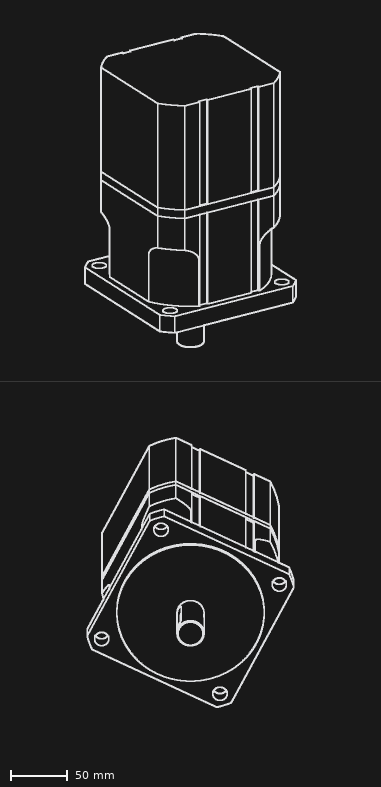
import cadquery as cq
import math

TOTAL_HEIGHT = 262.5
FLANGE_WIDTH = 142.0
BODY_WIDTH = 127.8

FLANGE_CORNER_DIA = 188.0
BODY_CORNER_DIA = 158.0
NECK_DIA = 142.8

PILOT_BOTTOM_Z = 47.2
FLANGE_BOTTOM_Z = 50.1
FLANGE_TOP_Z = 66.2
NECK_TOP_Z = 110.5
NECK_BLEND_TOP_Z = 123.5
PLATE_BOTTOM_Z = 154.0
PLATE_TOP_Z = 162.2

PILOT_DIA = 130.0
HOLE_DIA = 12.5
HOLE_SPACING = 116.5

GROOVE_DEPTH = 1.7
GROOVE_WIDTH = 8.1
GROOVE_SPACING = 53.3

SHAFT_DIA = 24.0
SHAFT_CHAMFER = 0.92
KEYWAY_WIDTH = 8.0
KEYWAY_DEPTH = 4.0
KEYWAY_BOTTOM_Z = 6.5
KEYWAY_TOP_Z = 44.0


def turned_square(width, corner_dia, bottom_z, top_z):
    """Square prism whose four corners are turned down to a common diameter."""
    height = top_z - bottom_z
    base = cq.Workplane("XY").workplane(offset=bottom_z)
    square = base.rect(width, width).extrude(height)
    return square.intersect(base.circle(corner_dia / 2).extrude(height))


def cut_side_grooves(body, bottom_z, top_z):
    """Cut two vertical grooves into each of the -X and +X faces."""
    height = top_z - bottom_z
    for x_side in (-1, 1):
        for y_side in (-1, 1):
            groove = (
                cq.Workplane("XY")
                .workplane(offset=bottom_z)
                .center(x_side * BODY_WIDTH / 2, y_side * GROOVE_SPACING / 2)
                .rect(2 * GROOVE_DEPTH, GROOVE_WIDTH)
                .extrude(height)
            )
            body = body.cut(groove)
    return body


def make_turned_neck():
    """Solid of revolution: straight neck, concave blend, then full corner diameter."""
    neck_r = NECK_DIA / 2
    corner_r = BODY_CORNER_DIA / 2
    rise = NECK_BLEND_TOP_Z - NECK_TOP_Z
    step = corner_r - neck_r
    blend_r = (rise**2 + step**2) / (2 * step)
    half_angle = math.asin(rise / blend_r) / 2
    mid_point = (
        neck_r + blend_r * (1 - math.cos(half_angle)),
        NECK_TOP_Z + blend_r * math.sin(half_angle),
    )
    return (
        cq.Workplane("XZ")
        .moveTo(0, FLANGE_TOP_Z)
        .lineTo(neck_r, FLANGE_TOP_Z)
        .lineTo(neck_r, NECK_TOP_Z)
        .threePointArc(mid_point, (corner_r, NECK_BLEND_TOP_Z))
        .lineTo(corner_r, PLATE_BOTTOM_Z)
        .lineTo(0, PLATE_BOTTOM_Z)
        .close()
        .revolve(360, (0, 0, 0), (0, 1, 0))
    )


def make_gearbox_housing():
    """Mounting flange with pilot, and the necked gearbox body above it."""
    flange = turned_square(FLANGE_WIDTH, FLANGE_CORNER_DIA, FLANGE_BOTTOM_Z, FLANGE_TOP_Z)
    holes = (
        cq.Workplane("XY")
        .workplane(offset=FLANGE_BOTTOM_Z)
        .rect(HOLE_SPACING, HOLE_SPACING, forConstruction=True)
        .vertices()
        .circle(HOLE_DIA / 2)
        .extrude(FLANGE_TOP_Z - FLANGE_BOTTOM_Z)
    )
    pilot = (
        cq.Workplane("XY")
        .workplane(offset=PILOT_BOTTOM_Z)
        .circle(PILOT_DIA / 2)
        .extrude(FLANGE_BOTTOM_Z - PILOT_BOTTOM_Z)
    )
    square = (
        cq.Workplane("XY")
        .workplane(offset=FLANGE_TOP_Z)
        .rect(BODY_WIDTH, BODY_WIDTH)
        .extrude(PLATE_BOTTOM_Z - FLANGE_TOP_Z)
    )
    body = square.intersect(make_turned_neck())
    body = cut_side_grooves(body, FLANGE_TOP_Z, PLATE_BOTTOM_Z)
    return flange.cut(holes).union(pilot).union(body)


def make_plate():
    """Plain plate between the gearbox and the upper housing; the grooves skip it."""
    return turned_square(BODY_WIDTH, BODY_CORNER_DIA, PLATE_BOTTOM_Z, PLATE_TOP_Z)


def make_upper_housing():
    """Grooved upper housing standing on the intermediate plate."""
    body = turned_square(BODY_WIDTH, BODY_CORNER_DIA, PLATE_TOP_Z, TOTAL_HEIGHT)
    return cut_side_grooves(body, PLATE_TOP_Z, TOTAL_HEIGHT)


def make_shaft():
    """Output shaft with a chamfered end and a round-ended keyway on its +Y side."""
    shaft = (
        cq.Workplane("XY")
        .circle(SHAFT_DIA / 2)
        .extrude(PILOT_BOTTOM_Z)
        .faces("<Z")
        .chamfer(SHAFT_CHAMFER)
    )
    keyway = (
        cq.Workplane("XZ", origin=(0, SHAFT_DIA / 2, 0))
        .center(0, (KEYWAY_BOTTOM_Z + KEYWAY_TOP_Z) / 2)
        .slot2D(KEYWAY_TOP_Z - KEYWAY_BOTTOM_Z, KEYWAY_WIDTH, 90)
        .extrude(KEYWAY_DEPTH)
    )
    return shaft.cut(keyway)


gearbox_housing = make_gearbox_housing()
plate = make_plate()
upper_housing = make_upper_housing()
shaft = make_shaft()

result = cq.Compound.makeCompound(
    [gearbox_housing.val(), plate.val(), upper_housing.val(), shaft.val()]
)